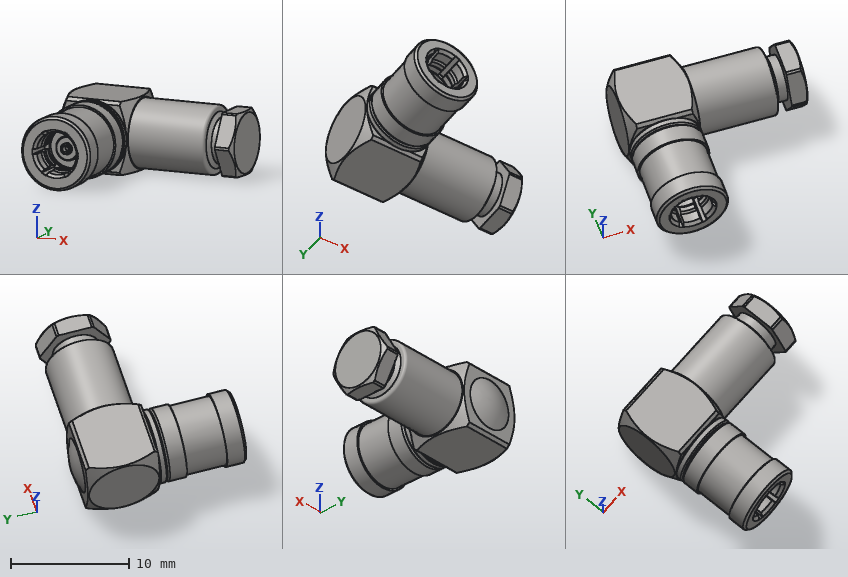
import cadquery as cq
import math


overall_length = 16.11

block_size = 6.4
block_half = block_size / 2
block_edge_chamfer = 0.29
block_face_radius = 3.1
corner_slope = math.tan(math.radians(30))

cap_radius = 2.38
cap_top = 3.77

ring_chamfer = 0.1
ring_end = 3.88
groove_radius = 3.06
groove_depth = block_half - groove_radius
sleeve_start = 4.06
waist_start = 5.55
waist_end = 9.13
waist_radius = 3.03
plug_end = 10.87
plug_chamfer = 0.21

mouth_radius = 2.1
mouth_cone_depth = 0.3
socket_radius = 1.85
ridge_radius = 1.7
ridge_start = 1.2
ridge_ramp = 0.2
ridge_width = 0.42
socket_depth = 2.55
well_radius = 1.74
well_depth = 2.9
slot_count = 6
slot_width = 0.45
slot_radius = 2.13

insulator_radius = 1.06
insulator_chamfer = 0.08
insulator_height = 0.48
contact_radius = 0.48
contact_chamfer = 0.06
contact_height = 0.32
contact_bore_radius = 0.29
contact_bore_depth = 0.65
contact_slot_width = 0.24
contact_slot_depth = 0.48

core_floor = well_depth - plug_end
insulator_top = core_floor - insulator_height
contact_top = insulator_top - contact_height

tube_radius = 3.01
tube_end = 10.21
tube_fillet = 0.24
thread_radius = 2.45
thread_end = 10.5
neck_radius = 2.01
nut_start = 11.33
nut_end = overall_length - block_half
nut_across_flats = 5.53
nut_corner_radius = 3.13
nut_face_radius = 2.63


def turned_about_y(points):
    """Revolve an outline of (radius, y) points about the Y axis."""
    return cq.Workplane("XY").polyline(points).close().revolve(360, (0, 0, 0), (0, 1, 0))


def turned_about_x(points):
    """Revolve an outline of (x, radius) points about the X axis."""
    return cq.Workplane("XY").polyline(points).close().revolve(360, (0, 0, 0), (1, 0, 0))


def round_ended_slot(mouth, width, radius, depth):
    """Slot across Z, cut towards +Y from y = mouth and ended by a cylinder about Y."""
    face = cq.Workplane("XZ", origin=(0, mouth, 0))
    bar = face.rect(width, 2 * radius).extrude(-depth)
    return bar.intersect(face.circle(radius).extrude(-depth))


def elbow_block():
    """Cube with chamfered X edges and its corners turned off by cones at both X ends."""
    cube = cq.Workplane("XY").box(block_size, block_size, block_size)
    cube = cube.edges("|X").chamfer(block_edge_chamfer)
    clear_radius = block_size
    cone_drop = (clear_radius - block_face_radius) * corner_slope
    envelope = turned_about_x([
        (-block_half, 0),
        (-block_half, block_face_radius),
        (-block_half + cone_drop, clear_radius),
        (block_half - cone_drop, clear_radius),
        (block_half, block_face_radius),
        (block_half, 0),
    ])
    return cube.intersect(envelope)


def domed_cap():
    """Spherical cap, with a shaft that buries it in the block."""
    rise = cap_top - block_half
    sphere_radius = (cap_radius**2 + rise**2) / (2 * rise)
    sphere_center = cap_top - sphere_radius
    half_angle = math.asin(cap_radius / sphere_radius) / 2
    mid_point = (
        sphere_radius * math.sin(half_angle),
        sphere_center + sphere_radius * math.cos(half_angle),
    )
    return (
        cq.Workplane("XY")
        .lineTo(cap_radius, 0)
        .lineTo(cap_radius, block_half)
        .threePointArc(mid_point, (0, cap_top))
        .close()
        .revolve(360, (0, 0, 0), (0, 1, 0))
    )


def plug_sleeve():
    """Outer turned shape of the plug: ring, groove, collar, waist and front collar."""
    return turned_about_y([
        (0, -block_half),
        (block_half - ring_chamfer, -block_half),
        (block_half, -block_half - ring_chamfer),
        (block_half, -ring_end + groove_depth),
        (groove_radius, -ring_end),
        (block_half, -sleeve_start),
        (block_half, -waist_start),
        (waist_radius, -waist_start),
        (waist_radius, -waist_end),
        (block_half, -waist_end),
        (block_half, -plug_end + plug_chamfer),
        (block_half - plug_chamfer, -plug_end),
        (0, -plug_end),
    ])


def socket():
    """Cavity of the plug: coned mouth, bore with a snap ridge, end well and slots."""
    crest_start = ridge_start + ridge_ramp
    crest_end = crest_start + ridge_width
    profile = [
        (0, 0),
        (mouth_radius, 0),
        (socket_radius, mouth_cone_depth),
        (socket_radius, ridge_start),
        (ridge_radius, crest_start),
        (ridge_radius, crest_end),
        (socket_radius, crest_end + ridge_ramp),
        (socket_radius, socket_depth),
        (well_radius, socket_depth),
        (well_radius, well_depth),
        (0, well_depth),
    ]
    cavity = turned_about_y([(radius, depth - plug_end) for radius, depth in profile])

    slot_bar = round_ended_slot(-plug_end, slot_width, slot_radius, socket_depth)
    quarter_turn = 90
    for index in range(slot_count // 2):
        angle = quarter_turn + index * 360 / slot_count
        cavity = cavity.union(slot_bar.rotate((0, 0, 0), (0, 1, 0), angle))
    return cavity


def insulator_and_contact():
    """Stepped core on the well floor: insulator boss and centre contact."""
    return turned_about_y([
        (0, core_floor),
        (insulator_radius, core_floor),
        (insulator_radius, insulator_top + insulator_chamfer),
        (insulator_radius - insulator_chamfer, insulator_top),
        (contact_radius, insulator_top),
        (contact_radius, contact_top + contact_chamfer),
        (contact_radius - contact_chamfer, contact_top),
        (0, contact_top),
    ])


def contact_hole():
    """Pointed bore of the centre contact and the slot that splits its tip."""
    bore_bottom = contact_top + contact_bore_depth
    bore = turned_about_y([
        (0, contact_top),
        (contact_bore_radius, contact_top),
        (contact_bore_radius, bore_bottom),
        (0, bore_bottom + contact_bore_radius * corner_slope),
    ])
    return bore.union(round_ended_slot(contact_top, contact_slot_width, contact_radius, contact_slot_depth))


def cable_tube():
    """Plain tube with a rounded end, then the thread run-out and the neck to the nut."""
    tube = cq.Workplane("YZ").circle(tube_radius).extrude(tube_end)
    tube = tube.faces(">X").edges().fillet(tube_fillet)
    neck = turned_about_x([
        (0, 0),
        (0, thread_radius),
        (tube_end, thread_radius),
        (thread_end, neck_radius),
        (nut_start, neck_radius),
        (nut_start, 0),
    ])
    return tube.union(neck)


def clamping_nut():
    """Hexagon with corners on the Y axis, rounded corners and a coned outer end."""
    hexagon = (
        cq.Workplane("YZ", origin=(nut_start, 0, 0))
        .polygon(6, nut_across_flats, circumscribed=True)
        .extrude(nut_end - nut_start)
        .rotate((0, 0, 0), (1, 0, 0), 90)
    )
    cone_drop = (nut_corner_radius - nut_face_radius) * corner_slope
    envelope = turned_about_x([
        (nut_start, 0),
        (nut_start, nut_corner_radius),
        (nut_end - cone_drop, nut_corner_radius),
        (nut_end, nut_face_radius),
        (nut_end, 0),
    ])
    return hexagon.intersect(envelope)


result = (
    elbow_block()
    .union(domed_cap())
    .union(plug_sleeve())
    .cut(socket())
    .union(insulator_and_contact())
    .cut(contact_hole())
    .union(cable_tube())
    .union(clamping_nut())
)